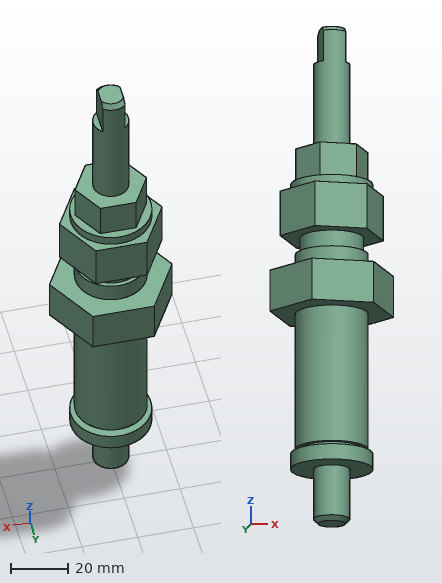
import cadquery as cq
import math

shaft_length = 177.8
shaft_diameter = 12.6
shaft_chamfer = 1.6
flat_thickness = 8.0
flat_length = 12.6

collar_bottom = 19.5
collar_height = 5.5
groove_height = 1.6
barrel_length = 70.0
neck_length = 6.0
body_hex_height = 16.0
shoulder_height = 3.2
top_hex_height = 12.3
collar_diameter = 28.6
barrel_diameter = 25.5
neck_diameter = 22.2
body_hex_flats = 31.8
top_hex_flats = neck_diameter

nut_bottom = 75.4
nut_height = 14.8
nut_flats = 38.0


def cylinder(diameter, bottom, height):
    return cq.Workplane("XY").workplane(offset=bottom).circle(diameter / 2).extrude(height)


def hexagon(across_flats, bottom, height):
    """Hexagonal prism with its corners on the X axis."""
    across_corners = across_flats / math.cos(math.pi / 6)
    return cq.Workplane("XY").workplane(offset=bottom).polygon(6, across_corners).extrude(height)


def make_shaft():
    shaft = cylinder(shaft_diameter, 0, shaft_length).edges("%CIRCLE").chamfer(shaft_chamfer)
    flat_bottom = shaft_length - flat_length
    tongue = (
        cq.Workplane("XY")
        .workplane(offset=flat_bottom)
        .rect(flat_thickness, shaft_diameter)
        .extrude(flat_length)
    )
    waste = cylinder(shaft_diameter, flat_bottom, flat_length).cut(tongue)
    return shaft.cut(waste).solids()


def make_body():
    sections = [
        (cylinder, collar_diameter, collar_height),
        (cylinder, neck_diameter, groove_height),
        (cylinder, barrel_diameter, barrel_length),
        (cylinder, neck_diameter, neck_length),
        (hexagon, body_hex_flats, body_hex_height),
        (cylinder, collar_diameter, shoulder_height),
        (hexagon, top_hex_flats, top_hex_height),
    ]
    body = cq.Workplane("XY")
    bottom = collar_bottom
    for shape, size, height in sections:
        body = body.add(shape(size, bottom, height))
        bottom += height
    bore = cylinder(shaft_diameter, 0, shaft_length)
    return body.combine().cut(bore).solids()


def make_nut():
    bore = cylinder(barrel_diameter, nut_bottom, nut_height)
    return hexagon(nut_flats, nut_bottom, nut_height).cut(bore).solids()


shaft = make_shaft()
body = make_body()
nut = make_nut()

result = cq.Compound.makeCompound([shaft.val(), body.val(), nut.val()])